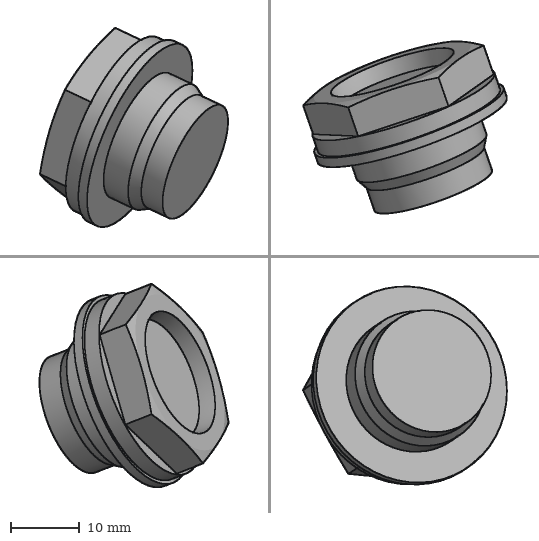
import cadquery as cq
import math

HEAD_END = 5.0
COLLAR_END = 7.5
FLANGE_END = 9.0
SHANK_END = 13.2
TAPER_END = 14.85
TOTAL_LENGTH = 18.5

COLLAR_DIAMETER = 28.0
FLANGE_DIAMETER = 29.12
SHANK_DIAMETER = 20.0
SPIGOT_DIAMETER = 18.1

ACROSS_FLATS = 24.0
ACROSS_CORNERS = ACROSS_FLATS / math.cos(math.radians(30))
HEAD_CHAMFER_ANGLE = 15.0

RECESS_MOUTH_DIAMETER = 18.85
RECESS_FLOOR_DIAMETER = 18.05
RECESS_DEPTH = 2.5


def frustum(start, end, start_diameter, end_diameter):
    """Solid of revolution about X with straight sides."""
    profile = [
        (start, 0),
        (start, start_diameter / 2),
        (end, end_diameter / 2),
        (end, 0),
    ]
    return cq.Workplane("XY").polyline(profile).close().revolve(360, (0, 0, 0), (1, 0, 0))


def hexagon_head():
    """Hexagon whose front corners are trimmed by a shallow cone."""
    prism = cq.Workplane("YZ").polygon(6, ACROSS_CORNERS).extrude(HEAD_END)
    cone_growth = 2 * HEAD_END / math.tan(math.radians(HEAD_CHAMFER_ANGLE))
    cone = frustum(0, HEAD_END, ACROSS_FLATS, ACROSS_FLATS + cone_growth)
    return prism.intersect(cone)


def stepped_body():
    """Collar, flange, shank, taper and spigot behind the head."""
    collar = frustum(HEAD_END, COLLAR_END, COLLAR_DIAMETER, COLLAR_DIAMETER)
    flange = frustum(COLLAR_END, FLANGE_END, FLANGE_DIAMETER, FLANGE_DIAMETER)
    shank = frustum(FLANGE_END, SHANK_END, SHANK_DIAMETER, SHANK_DIAMETER)
    taper = frustum(SHANK_END, TAPER_END, SHANK_DIAMETER, SPIGOT_DIAMETER)
    spigot = frustum(TAPER_END, TOTAL_LENGTH, SPIGOT_DIAMETER, SPIGOT_DIAMETER)
    return collar.union(flange).union(shank).union(taper).union(spigot)


recess = frustum(0, RECESS_DEPTH, RECESS_MOUTH_DIAMETER, RECESS_FLOOR_DIAMETER)
result = hexagon_head().union(stepped_body()).cut(recess)